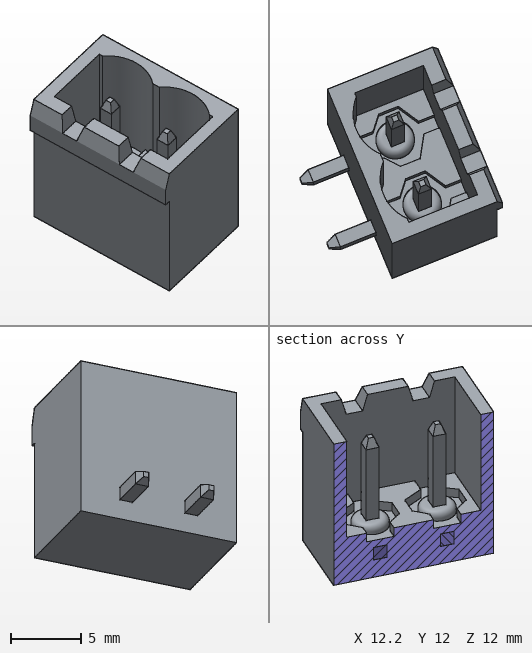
import cadquery as cq
import math

pin_count = 2
pitch = 5.08
wall = 1.0
height = 12.0
total_depth = 12.0

back_y = 3.77
lip_front_y = -4.74
lip_overhang = 0.43
lip_height = 2.83
lip_bevel_height = 1.31

cavity_floor_z = 3.89
cavity_front_y = -3.21
cavity_back_y = 2.07
bay_top_y = 2.98
bay_half_chord = 2.25

notch_top_width = 2.0
notch_bottom_width = 1.24

recess_depth = 0.73
recess_back_half = 1.03
recess_middle_half = 2.05
recess_back_y = 1.29
recess_upper_y = 0.44
recess_lower_y = -1.07
recess_front_y = -2.0

boss_radius = 1.37
boss_round = 0.49

pin_size = 1.0
tip_size = 0.41
tip_length = 0.75
pin_top_z = 10.63
tail_z = 2.02

width = pin_count * pitch + 2 * wall
wall_front_y = lip_front_y + lip_overhang
lip_bottom_z = height - lip_height
notch_z = height - lip_bevel_height
recess_z = cavity_floor_z - recess_depth
tail_end_y = lip_front_y + total_depth
pin_half = pin_size / 2
pin_xs = [(i - (pin_count - 1) / 2) * pitch for i in range(pin_count)]


def prism_up(outline, bottom_z, top_z):
    """Extrude a closed XY outline from one height to another."""
    return outline.extrude(top_z - bottom_z).translate((0, 0, bottom_z))


def make_shell():
    """Solid block with the bevelled lip along its upper front edge."""
    profile = [
        (back_y, 0),
        (wall_front_y, 0),
        (wall_front_y, lip_bottom_z),
        (lip_front_y, lip_bottom_z),
        (lip_front_y, notch_z),
        (wall_front_y, height),
        (back_y, height),
    ]
    return cq.Workplane("YZ").polyline(profile).close().extrude(width / 2, both=True)


def make_bay(x):
    """One pin's share of the cavity: a rectangle with an arched rear wall."""
    half = pitch / 2
    outline = (
        cq.Workplane("XY")
        .moveTo(x - half, cavity_front_y)
        .lineTo(x + half, cavity_front_y)
        .lineTo(x + half, cavity_back_y)
        .lineTo(x + bay_half_chord, cavity_back_y)
        .threePointArc((x, bay_top_y), (x - bay_half_chord, cavity_back_y))
        .lineTo(x - half, cavity_back_y)
        .close()
    )
    return prism_up(outline, cavity_floor_z, height)


def make_recess(x):
    """Keyed recess in the cavity floor, ending at the arch and the front wall."""
    arch_rise = bay_top_y - cavity_back_y
    arch_radius = (bay_half_chord**2 + arch_rise**2) / (2 * arch_rise)
    arch_drop = arch_radius - math.sqrt(arch_radius**2 - recess_back_half**2)
    corner_y = bay_top_y - arch_drop
    outline = (
        cq.Workplane("XY")
        .moveTo(x - pin_half, cavity_front_y)
        .lineTo(x + pin_half, cavity_front_y)
        .lineTo(x + pin_half, recess_front_y)
        .lineTo(x + recess_middle_half, recess_lower_y)
        .lineTo(x + recess_middle_half, recess_upper_y)
        .lineTo(x + recess_back_half, recess_back_y)
        .lineTo(x + recess_back_half, corner_y)
        .threePointArc((x, bay_top_y), (x - recess_back_half, corner_y))
        .lineTo(x - recess_back_half, recess_back_y)
        .lineTo(x - recess_middle_half, recess_upper_y)
        .lineTo(x - recess_middle_half, recess_lower_y)
        .lineTo(x - pin_half, recess_front_y)
        .close()
    )
    return prism_up(outline, recess_z, cavity_floor_z)


def make_boss(x):
    """Round-edged collar standing in the recess, level with the cavity floor."""
    boss = cq.Workplane("XY").circle(boss_radius).extrude(recess_depth)
    return boss.faces(">Z").edges().fillet(boss_round).translate((x, 0, recess_z))


def make_notch(x):
    """Tapered notch through the front wall, open at the top."""
    outline = [
        (x - notch_bottom_width / 2, notch_z),
        (x + notch_bottom_width / 2, notch_z),
        (x + notch_top_width / 2, height),
        (x - notch_top_width / 2, height),
    ]
    notch = cq.Workplane("XZ").polyline(outline).close().extrude(cavity_front_y - lip_front_y)
    return notch.translate((0, cavity_front_y, 0))


def make_point():
    """Square pyramid frustum, pointing up from the origin."""
    return (
        cq.Workplane("XY")
        .rect(pin_size, pin_size)
        .workplane(offset=tip_length)
        .rect(tip_size, tip_size)
        .loft(ruled=True)
    )


def make_pin(x):
    """Right-angle square pin: a contact post and a rear tail, both pointed."""
    post_end_z = pin_top_z - tip_length
    tail_shoulder_y = tail_end_y - tip_length
    elbow_z = tail_z - pin_half
    profile = [
        (-pin_half, elbow_z),
        (tail_shoulder_y, elbow_z),
        (tail_shoulder_y, elbow_z + pin_size),
        (pin_half, elbow_z + pin_size),
        (pin_half, post_end_z),
        (-pin_half, post_end_z),
    ]
    pin = cq.Workplane("YZ").polyline(profile).close().extrude(pin_half, both=True)
    post_point = make_point().translate((0, 0, post_end_z))
    tail_point = make_point().rotate((0, 0, 0), (1, 0, 0), -90).translate((0, tail_shoulder_y, tail_z))
    return pin.union(post_point).union(tail_point).translate((x, 0, 0))


def make_housing(pins):
    """Lipped shell with its cavity, keyed recesses, bosses, notches and pin holes."""
    housing = make_shell()
    for x in pin_xs:
        housing = housing.cut(make_bay(x)).cut(make_recess(x)).cut(make_notch(x))
        housing = housing.union(make_boss(x))
    for pin in pins:
        housing = housing.cut(pin)
    return housing


pins = [make_pin(x) for x in pin_xs]
housing = make_housing(pins)

result = cq.Compound.makeCompound([housing.solids().val(), *[pin.solids().val() for pin in pins]])